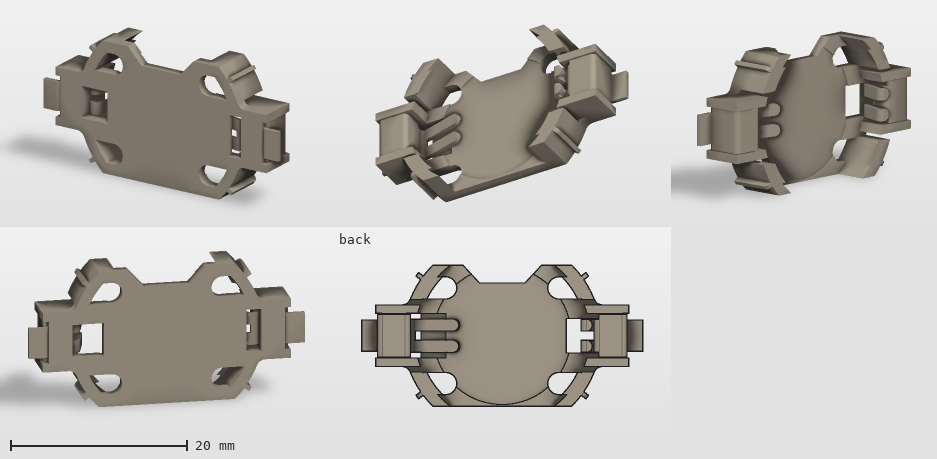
import cadquery as cq
import math


length = 31.85
holder_radius = 11.2
half_width = 8.0
plate_height = 1.4
wall_height = 5.2
wall_start_x = 5.9
pocket_radius = 9.9

notch_half_top = 4.45
notch_half_bottom = 2.58
notch_depth = 2.0
recess_radius = 7.8
recess_depth = 0.2
hole_radius = 1.25
hole_x = 6.4
hole_z = 5.42
lip_radius = 9.5
lip_height = 0.4

rib_angle = 35.8
rib_width = 0.5
rib_reach = 11.88
rib_rounding = 0.65

block_end_x = 14.35
block_half_width = 3.5
block_height = 4.75
junction_radius = 1.0
slot_end_x = 13.65
slot_half_width = 2.52
window_outer = 10.9
left_window_inner = 7.25
left_window_half = 1.95
right_window_inner = 9.2
finger_pocket_inner = 6.37
finger_pocket_floor = 0.73

sheet = 0.5
bend_radius = 0.35
top_y = 4.62
foot_half_width = 1.8
foot_top = 0.67
strip_half_width = 2.42
inner_half_width = 1.88
finger_gap_half = 0.5
tip_radius = 0.67

turn_radius = 0.38
turn_y = 2.15
finger_lean = 16
left_tip_x = -10.2
left_gap_top = 2.55

right_tip = (4.87, 2.33)
finger_slope = 0.29
finger_bend_radius = 0.6
right_gap_end = 9.85
shoulder_y = 1.9
shoulder_radius = 0.48

mid = sheet / 2
saddle_y = top_y - sheet
inside_bend = bend_radius - mid
fillet_centre_z = block_half_width + junction_radius
wall_start_z = fillet_centre_z * holder_radius / (holder_radius + junction_radius)
foot_end_x = length / 2
outer_leg_x = slot_end_x + mid


def box(x0, x1, y0, y1, z0, z1):
    """Box between pairs of limits, given in any order along X."""
    return cq.Workplane("XY").box(abs(x1 - x0), y1 - y0, z1 - z0).translate(
        ((x0 + x1) / 2, (y0 + y1) / 2, (z0 + z1) / 2)
    )


def sketch_at(y):
    """Workplane across the holder at height y, drawn in X and Z."""
    return cq.Workplane("XZ", origin=(0, y, 0))


def disc(radius, y0, y1):
    return sketch_at(y0).circle(radius).extrude(y0 - y1)


def at_four_corners(shape):
    """The shape and its mirror images in the X and Z directions."""
    pair = shape.union(shape.mirror("YZ"))
    return pair.union(pair.mirror("XY"))


def round_body(height):
    """Round outside trimmed by the two flats."""
    trim = box(-holder_radius, holder_radius, 0, height, -half_width, half_width)
    return disc(holder_radius, 0, height).intersect(trim)


def junction_fillets():
    """Concave fillets in plate height where the block sides meet the round outside."""
    reach = holder_radius + junction_radius
    centre_x = math.sqrt(reach**2 - fillet_centre_z**2)
    tangent_x = centre_x * holder_radius / reach
    corner = (
        sketch_at(0)
        .moveTo(tangent_x, wall_start_z)
        .lineTo(tangent_x - junction_radius, block_half_width)
        .lineTo(centre_x, block_half_width)
        .lineTo(centre_x, fillet_centre_z)
        .close()
        .extrude(-plate_height)
    )
    rounding = sketch_at(0).center(centre_x, fillet_centre_z).circle(junction_radius)
    return at_four_corners(corner.cut(rounding.extrude(-plate_height)))


def plate_notch():
    return (
        sketch_at(0)
        .polyline([
            (-notch_half_top, half_width),
            (-notch_half_bottom, half_width - notch_depth),
            (notch_half_bottom, half_width - notch_depth),
            (notch_half_top, half_width),
        ])
        .close()
        .extrude(-plate_height)
    )


def moulding_hole(height):
    """Hole with a round inner end that reaches out to the pocket circle."""
    inner_end = sketch_at(0).center(hole_x, hole_z).circle(hole_radius).extrude(-height)
    outer_part = box(hole_x, pocket_radius, 0, height, hole_z - hole_radius, hole_z + hole_radius)
    return inner_end.union(outer_part).intersect(disc(pocket_radius, 0, height))


def snap_lip():
    """Lip above one moulding hole, with a sloping underside, at the top of the wall."""
    base = cq.Vector(0, wall_height - lip_height, 0)
    opening = cq.Solid.makeCone(pocket_radius, lip_radius, lip_height, base, cq.Vector(0, 1, 0))
    ring = disc(pocket_radius, wall_height - lip_height, wall_height).cut(cq.Workplane(opening))
    return ring.intersect(moulding_hole(wall_height))


def rib():
    """Radial rib up the outside of a wall, rounded at its top outer corner."""
    inner = (pocket_radius + holder_radius) / 2
    bar = box(inner, rib_reach, 0, wall_height, -rib_width / 2, rib_width / 2)
    bar = bar.edges(">X and >Y").fillet(rib_rounding)
    return bar.rotate((0, 0, 0), (0, 1, 0), -rib_angle)


def wall():
    quadrant = box(wall_start_x, holder_radius, 0, wall_height, wall_start_z, half_width)
    return round_body(wall_height).intersect(quadrant)


def block(side):
    """Contact block, slotted down its end and over its top for one contact.

    Its inner end is flat within the slot and follows the coin pocket beside it.
    """
    start_x = side * window_outer
    end_x = side * block_end_x
    half = slot_half_width
    solid = box(0, end_x, 0, block_height, -block_half_width, block_half_width)
    solid = solid.cut(disc(pocket_radius, 0, block_height))
    core = box(start_x, side * slot_end_x, 0, saddle_y, -half, half)
    core = core.edges(">Y and |Z").fillet(inside_bend)
    return solid.cut(box(0, end_x, 0, block_height, -half, half).cut(core))


def make_housing():
    body = round_body(plate_height).cut(plate_notch())
    body = body.union(at_four_corners(wall()))
    base_half = block_half_width
    body = body.union(box(-block_end_x, block_end_x, 0, plate_height, -base_half, base_half))
    body = body.union(junction_fillets())
    body = body.cut(disc(pocket_radius, plate_height, wall_height))
    body = body.cut(disc(recess_radius, plate_height - recess_depth, plate_height))
    body = body.cut(at_four_corners(moulding_hole(plate_height)))
    body = body.union(at_four_corners(snap_lip()))
    body = body.union(at_four_corners(rib()))

    half = slot_half_width
    for side in (-1, 1):
        body = body.cut(box(side * slot_end_x, side * block_end_x, 0, plate_height, -half, half))
        body = body.union(block(side))

    left = left_window_half
    body = body.cut(box(-window_outer, -left_window_inner, 0, plate_height, -left, left))
    body = body.cut(box(right_window_inner, window_outer, 0, plate_height, -half, half))
    return body.cut(
        box(finger_pocket_inner, right_window_inner, finger_pocket_floor, plate_height, -half, half)
    )


def bent_path(path_points, radii):
    """Side path through (x, y) points, with one radius for each bend."""
    path = cq.Wire.makePolygon([cq.Vector(x, y, 0) for x, y in path_points])
    for (x, y), radius in zip(path_points[1:-1], radii):
        corner = [v for v in path.Vertices() if math.dist((v.X, v.Y), (x, y)) < 0.0003]
        path = path.fillet(radius, corner)
    return path


def sheet_along(path):
    """Full-width sheet swept along a side path that starts at the end of the foot."""
    start = path.startPoint().toTuple()
    section = cq.Workplane("YZ", origin=start).rect(sheet, 2 * strip_half_width)
    return section.sweep(cq.Workplane(path))


def trim_width(contact, half_width_kept, x0, x1, y0, y1):
    """Narrow the contact to a half width between the given X and Y limits."""
    for z0, z1 in ((-slot_half_width, -half_width_kept), (half_width_kept, slot_half_width)):
        contact = contact.cut(box(x0, x1, y0, y1, z0, z1))
    return contact


def round_corners(contact, x, y, radius, min_z=0.0):
    """Round the edges through the sheet at one point of its side path, from min_z outward."""
    def at_point(edge):
        centre = edge.Center()
        on_point = math.dist((centre.x, centre.y), (x, y)) < 0.003
        return on_point and abs(edge.Length() - sheet) < 0.003 and abs(centre.z) > min_z

    corners = [edge for edge in contact.edges().vals() if at_point(edge)]
    return contact.newObject(corners).fillet(radius)


def outer_path(side):
    """Side path of the foot, the outer leg and the start of the run over the block."""
    return [
        (side * foot_end_x, mid),
        (side * outer_leg_x, mid),
        (side * outer_leg_x, top_y - mid),
    ]


def make_left_contact():
    """Contact whose fingers turn up and press on the edge of the cell."""
    leg_x = -window_outer + mid
    tip = (left_tip_x, wall_height - mid)
    lean = math.radians(finger_lean)

    turn_x = leg_x + turn_radius
    leg_end = (leg_x, turn_y)
    rise = (turn_x + turn_radius * math.cos(lean), turn_y - turn_radius * math.sin(lean))
    turn = cq.Edge.makeThreePointArc(
        cq.Vector(*leg_end), cq.Vector(turn_x, turn_y - turn_radius), cq.Vector(*rise)
    )

    crest = (rise[0] + (tip[1] - rise[1]) * math.tan(lean), tip[1])
    leg = bent_path(outer_path(-1) + [(leg_x, top_y - mid), leg_end], [bend_radius] * 3)
    finger = bent_path([rise, crest, tip], [bend_radius])
    contact = sheet_along(cq.Wire.assembleEdges([*leg.Edges(), turn, *finger.Edges()]))
    contact = trim_width(contact, foot_half_width, -foot_end_x, -slot_end_x, 0, foot_top)
    contact = trim_width(contact, inner_half_width, -window_outer, 0, 0, wall_height)
    gap = finger_gap_half
    contact = contact.cut(box(leg_x + mid, 0, 0, wall_height, -gap, gap))
    contact = contact.cut(box(-window_outer, 0, 0, left_gap_top, -gap, gap))
    return round_corners(contact, *tip, tip_radius)


def make_right_contact():
    """Contact whose fingers slope up under the face of the cell."""
    leg_x = window_outer - mid
    tip_x, tip_y = right_tip
    corner_y = tip_y - finger_slope * (leg_x - tip_x)
    path_points = outer_path(1) + [(leg_x, top_y - mid), (leg_x, corner_y), right_tip]
    contact = sheet_along(bent_path(path_points, [bend_radius] * 3 + [finger_bend_radius]))
    contact = trim_width(contact, foot_half_width, slot_end_x, foot_end_x, 0, foot_top)
    contact = trim_width(contact, inner_half_width, 0, window_outer, 0, shoulder_y)
    fingers_x = leg_x - mid
    contact = trim_width(contact, inner_half_width, 0, fingers_x, 0, saddle_y - sheet)
    gap = finger_gap_half
    contact = contact.cut(box(0, right_gap_end, 0, saddle_y - sheet, -gap, gap))
    contact = round_corners(contact, leg_x, shoulder_y, shoulder_radius, inner_half_width + mid)
    return round_corners(contact, tip_x, tip_y, tip_radius)


housing = make_housing()
left_contact = make_left_contact()
right_contact = make_right_contact()

result = cq.Compound.makeCompound([housing.val(), left_contact.val(), right_contact.val()])